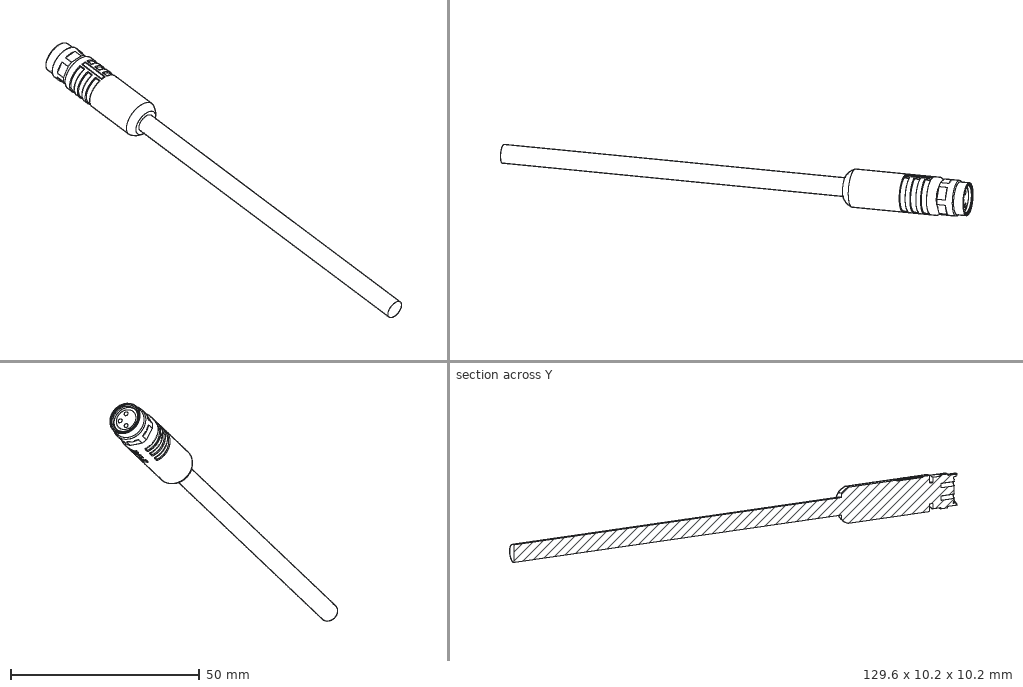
import cadquery as cq

total_length = 129.6
cable_diameter = 5.0

nose_diameter = 8.8
collar_diameter = 9.6
collar_start = 2.6
collar_chamfer = 0.3
collar_end = 7.1
hex_start = 4.8
hex_across_flats = 9.0
hex_turn_angle = 30.0
neck_diameter = 6.0

mouth_diameter = 8.0
mouth_depth = 0.3
socket_diameter = 7.3

insert_diameter = 5.7
insert_recess = 0.8
insert_base_depth = 1.0
contact_diameter = 1.1
contact_depth = 3.9
contact_circle_radius = 1.75

grip_diameter = 10.2
grip_start = 7.9
grip_front_fillet = 0.4
shoulder_start = 31.8
grip_end = 33.8
shoulder_end_diameter = 7.3
shoulder_arc_radius = 3.9

groove_floor_diameter = 9.6
groove_count = 3
groove_first = 10.0
groove_pitch = 3.0
groove_width = 1.5
groove_wall_slope = 0.1
panel_width = 2.6

marker_width = 1.2
marker_depth = 0.3


def cylinder(diameter, start, end):
    return cq.Workplane("YZ", origin=(start, 0, 0)).circle(diameter / 2).extrude(end - start)


def revolve_profile(profile):
    return profile.close().revolve(360, (0, 0, 0), (1, 0, 0))


def turned_body():
    """Nose, collar, neck, grip and cable as one revolved outline."""
    nose_radius = nose_diameter / 2
    collar_radius = collar_diameter / 2
    neck_radius = neck_diameter / 2
    cable_radius = cable_diameter / 2
    grip_radius = grip_diameter / 2
    shoulder_end_radius = shoulder_end_diameter / 2
    return revolve_profile(
        cq.Workplane("XY")
        .lineTo(0, nose_radius)
        .lineTo(collar_start, nose_radius)
        .lineTo(collar_start + collar_chamfer, collar_radius)
        .lineTo(collar_end, collar_radius)
        .lineTo(collar_end, neck_radius)
        .lineTo(grip_start, neck_radius)
        .lineTo(grip_start, grip_radius - grip_front_fillet)
        .radiusArc((grip_start + grip_front_fillet, grip_radius), grip_front_fillet)
        .lineTo(shoulder_start, grip_radius)
        .radiusArc((grip_end, shoulder_end_radius), shoulder_arc_radius)
        .lineTo(grip_end, cable_radius)
        .lineTo(total_length, cable_radius)
        .lineTo(total_length, 0)
    )


def hex_cutter():
    """Material outside the wrench flats at the rear of the collar."""
    hexagon = (
        cq.Workplane("YZ", origin=(hex_start, 0, 0))
        .polygon(6, hex_across_flats, circumscribed=True)
        .extrude(collar_end - hex_start)
        .rotate((0, 0, 0), (1, 0, 0), hex_turn_angle)
    )
    return cylinder(2 * collar_diameter, hex_start, collar_end).cut(hexagon)


def socket_cutter():
    """Stepped opening whose floor is a truncated cone, the tip of the contact insert."""
    return revolve_profile(
        cq.Workplane("XY")
        .lineTo(0, mouth_diameter / 2)
        .lineTo(mouth_depth, mouth_diameter / 2)
        .lineTo(mouth_depth, socket_diameter / 2)
        .lineTo(insert_base_depth, socket_diameter / 2)
        .lineTo(insert_recess, insert_diameter / 2)
        .lineTo(insert_recess, 0)
    )


def contact_holes():
    """Three contacts, on the +Z, +Y and -Z sides of the insert."""
    positions = [(0, contact_circle_radius), (contact_circle_radius, 0), (0, -contact_circle_radius)]
    return (
        cq.Workplane("YZ", origin=(insert_recess, 0, 0))
        .pushPoints(positions)
        .circle(contact_diameter / 2)
        .extrude(contact_depth)
    )


def finger_groove(start):
    """Sloped-wall ring, left uncut along the top and bottom panels of the grip."""
    grip_radius = grip_diameter / 2
    floor_radius = groove_floor_diameter / 2
    half_slope = groove_wall_slope / 2
    end = start + groove_width
    ring = revolve_profile(
        cq.Workplane("XY")
        .moveTo(start - half_slope, grip_radius)
        .lineTo(start + half_slope, floor_radius)
        .lineTo(end - half_slope, floor_radius)
        .lineTo(end + half_slope, grip_radius)
    )
    panel = (
        cq.Workplane("XY", origin=(start + groove_width / 2, 0, 0))
        .box(2 * groove_width, panel_width, 2 * grip_diameter)
    )
    return ring.cut(panel)


def marker_slot():
    length = (groove_count - 1) * groove_pitch + groove_width
    return (
        cq.Workplane("XY", origin=(groove_first, 0, grip_diameter / 2 - marker_depth))
        .box(length, marker_width, 2 * marker_depth, centered=(False, True, False))
    )


result = turned_body().cut(hex_cutter()).cut(socket_cutter()).cut(contact_holes())
for i in range(groove_count):
    result = result.cut(finger_groove(groove_first + i * groove_pitch))
result = result.cut(marker_slot())